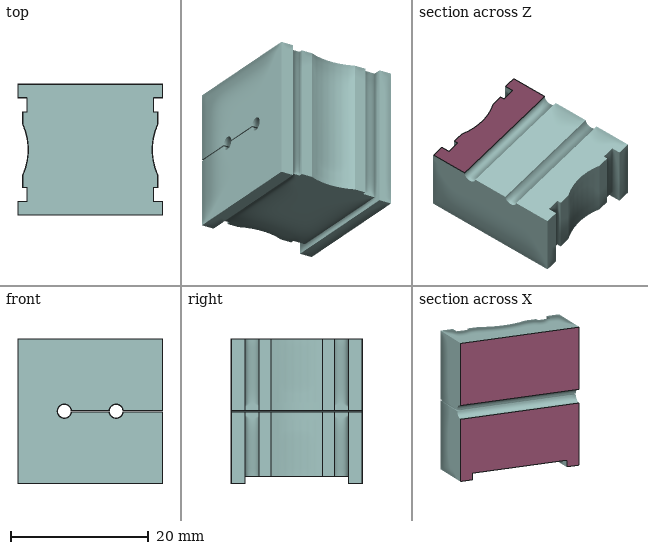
import cadquery as cq

width = 21.0
depth = 19.0
height = 21.0

plate_thickness = 2.0
floor_recess = 1.0

groove_half_width = 9.2
land_half_width = 9.8
waist_half_width = 9.0
groove_outer_y = depth / 2 - plate_thickness
groove_width = 2.0
groove_inner_y = groove_outer_y - groove_width
waist_half_length = 3.7

hole_diameter = 2.0
hole_xs = (-3.75, 3.75)
slit_width = 0.2


def make_core():
    """Core prism with a groove beside each plate and a concave waist on both X sides."""
    profile = (
        cq.Workplane("XY")
        .moveTo(-groove_half_width, groove_outer_y)
        .lineTo(groove_half_width, groove_outer_y)
        .lineTo(groove_half_width, groove_inner_y)
        .lineTo(land_half_width, groove_inner_y)
        .lineTo(land_half_width, waist_half_length)
        .threePointArc((waist_half_width, 0), (land_half_width, -waist_half_length))
        .lineTo(land_half_width, -groove_inner_y)
        .lineTo(groove_half_width, -groove_inner_y)
        .lineTo(groove_half_width, -groove_outer_y)
        .lineTo(-groove_half_width, -groove_outer_y)
        .lineTo(-groove_half_width, -groove_inner_y)
        .lineTo(-land_half_width, -groove_inner_y)
        .lineTo(-land_half_width, -waist_half_length)
        .threePointArc((-waist_half_width, 0), (-land_half_width, waist_half_length))
        .lineTo(-land_half_width, groove_inner_y)
        .lineTo(-groove_half_width, groove_inner_y)
        .close()
    )
    core_height = height - floor_recess
    return profile.extrude(core_height).translate((0, 0, height / 2 - core_height))


def make_plate(side):
    """Full-size end plate; side is -1 for the -Y plate and +1 for the +Y plate."""
    plate_y = side * (depth - plate_thickness) / 2
    return cq.Workplane("XY").box(width, plate_thickness, height).translate((0, plate_y, 0))


def make_wire_holes():
    """Round holes through the full depth."""
    return (
        cq.Workplane("XZ")
        .pushPoints([(x, 0) for x in hole_xs])
        .circle(hole_diameter / 2)
        .extrude(depth / 2, both=True)
    )


def make_slit():
    """Thin slit from the first hole, across the second, out through the +X side."""
    slit_start = hole_xs[0]
    slit_length = width / 2 - slit_start
    slit_centre = slit_start + slit_length / 2
    return cq.Workplane("XY").box(slit_length, depth, slit_width).translate((slit_centre, 0, 0))


result = make_core()
for plate_side in (-1, 1):
    result = result.union(make_plate(plate_side))
result = result.cut(make_wire_holes()).cut(make_slit())